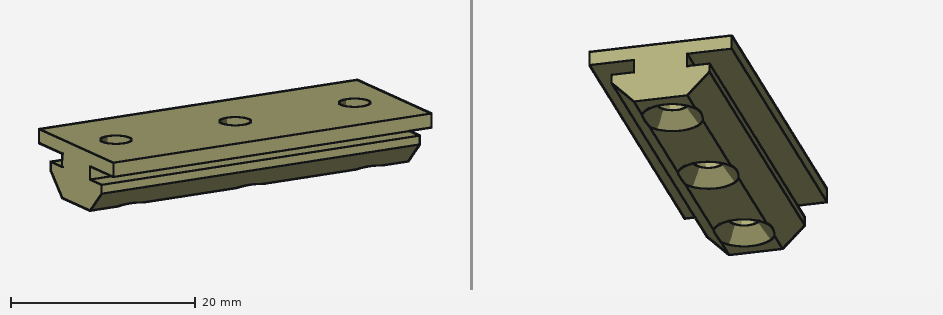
import cadquery as cq

length = 40.0
plate_width = 16.0
height = 6.6

plate_thickness = 1.6
neck_width = 6.0
neck_height = 1.5
head_width = 11.0
head_side_height = 1.0
head_bottom_width = 6.0

hole_diameter = 3.4
hole_pitch = 15.0
sink_diameter = 6.8
sink_angle = 90.0


def rail():
    """Extrude the symmetric T-slot profile along Y, with the plate on top."""
    plate_bottom = height - plate_thickness
    head_top = plate_bottom - neck_height
    head_side_bottom = head_top - head_side_height
    half_profile = [
        (0, 0),
        (head_bottom_width / 2, 0),
        (head_width / 2, head_side_bottom),
        (head_width / 2, head_top),
        (neck_width / 2, head_top),
        (neck_width / 2, plate_bottom),
        (plate_width / 2, plate_bottom),
        (plate_width / 2, height),
        (0, height),
    ]
    half = cq.Workplane("XZ").polyline(half_profile).close().extrude(length / 2, both=True)
    return half.union(half.mirror("YZ")).clean()


def drill_holes(body):
    """Cut a row of through holes with conical seats in the underside."""
    centers = [(0, step * hole_pitch) for step in (-1, 0, 1)]
    return (
        body.faces("<Z")
        .workplane(origin=(0, 0, 0))
        .pushPoints(centers)
        .cskHole(hole_diameter, sink_diameter, sink_angle)
    )


result = drill_holes(rail())